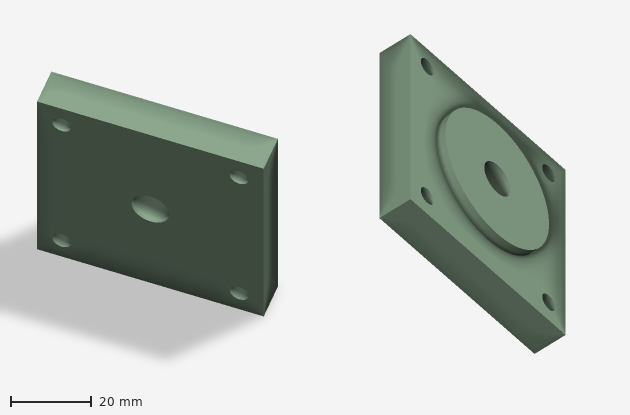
import cadquery as cq

plate_side = 60.0
total_depth = 13.0
boss_height = 3.0
plate_thickness = total_depth - boss_height
boss_diameter = 40.0
bore_diameter = 10.0
screw_hole_diameter = 5.0
screw_hole_spacing = 47.0

front_plane = cq.Plane(origin=(0, 0, 0), xDir=(1, 0, 0), normal=(0, 1, 0))

plate = cq.Workplane(front_plane).rect(plate_side, plate_side).extrude(plate_thickness)

boss = (
    cq.Workplane(front_plane)
    .workplane(offset=plate_thickness)
    .circle(boss_diameter / 2)
    .extrude(boss_height)
)

bore = cq.Workplane(front_plane).circle(bore_diameter / 2).extrude(total_depth)

screw_holes = (
    cq.Workplane(front_plane)
    .rect(screw_hole_spacing, screw_hole_spacing, forConstruction=True)
    .vertices()
    .circle(screw_hole_diameter / 2)
    .extrude(plate_thickness)
)

result = plate.union(boss).cut(bore).cut(screw_holes)